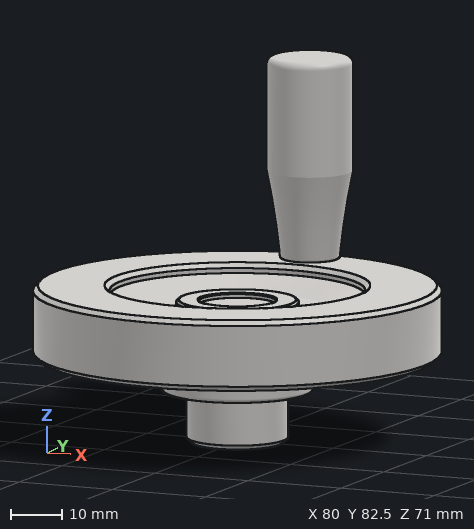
import cadquery as cq

wheel_diameter = 80.0
wheel_height = 14.0
wheel_chamfer = 1.0

dish_diameter = 50.0
dish_floor_diameter = 35.5
dish_depth = 5.0
dish_wall_height = 1.0
dish_fillet = 2.5

boss_diameter = 24.0
boss_below_rim = 2.8
boss_chamfer = 0.5
bore_diameter = 15.0
bore_depth = 1.0
bore_chamfer = 0.25

hub_diameter = 30.0
hub_height = 6.8
hub_fillet = 0.75
shaft_diameter = 20.0
shaft_height = 10.2
shaft_chamfer = 1.0

handle_offset = 34.0
handle_diameter = 17.0
handle_height = 40.0
handle_top_fillet = 1.5
grip_length = 22.7
handle_foot_diameter = 11.7
handle_foot_fillet = 0.5
waist_hollow = 0.25


def disc(diameter, bottom, top):
    """Upright cylinder about the Z axis between two heights."""
    return cq.Workplane("XY").workplane(offset=bottom).circle(diameter / 2).extrude(top - bottom)


def make_wheel():
    return disc(wheel_diameter, 0, wheel_height).edges().chamfer(wheel_chamfer)


def make_dish():
    """Recess to remove: chamfered mouth, short straight wall, then a cone down to the floor."""
    mouth_radius = dish_diameter / 2 + wheel_chamfer
    wall_top = wheel_height - wheel_chamfer
    floor = wheel_height - dish_depth
    return (
        cq.Workplane("XZ")
        .moveTo(0, wheel_height)
        .lineTo(mouth_radius, wheel_height)
        .lineTo(dish_diameter / 2, wall_top)
        .lineTo(dish_diameter / 2, wall_top - dish_wall_height)
        .lineTo(dish_floor_diameter / 2, floor)
        .lineTo(0, floor)
        .close()
        .revolve()
        .faces("<Z")
        .edges()
        .fillet(dish_fillet)
    )


def make_boss():
    top = wheel_height - boss_below_rim
    boss = disc(boss_diameter, wheel_height - dish_depth, top).faces(">Z").edges().chamfer(boss_chamfer)
    bore = disc(bore_diameter, top - bore_depth, top)
    smallest_edge = cq.selectors.RadiusNthSelector(0)
    return boss.cut(bore).faces(">Z").edges(smallest_edge).chamfer(bore_chamfer)


def make_hub():
    hub = disc(hub_diameter, -hub_height, 0).faces("<Z").edges().fillet(hub_fillet)
    shaft = disc(shaft_diameter, -hub_height - shaft_height, 0).faces("<Z").edges().chamfer(shaft_chamfer)
    return hub.union(shaft)


def make_handle():
    """Turned handle: waisted foot below a straight grip, revolved about its own axis."""
    foot_radius = handle_foot_diameter / 2
    grip_radius = handle_diameter / 2
    grip_bottom = handle_height - grip_length
    waist_mid_radius = (foot_radius + grip_radius) / 2 - waist_hollow
    handle = (
        cq.Workplane("XZ")
        .lineTo(foot_radius, 0)
        .threePointArc((waist_mid_radius, grip_bottom / 2), (grip_radius, grip_bottom))
        .lineTo(grip_radius, handle_height)
        .lineTo(0, handle_height)
        .close()
        .revolve()
    )
    handle = handle.faces("<Z").edges().fillet(handle_foot_fillet)
    handle = handle.faces(">Z").edges().fillet(handle_top_fillet)
    return handle.translate((0, handle_offset, wheel_height))


wheel = make_wheel().cut(make_dish())
result = wheel.union(make_boss()).union(make_hub()).union(make_handle())